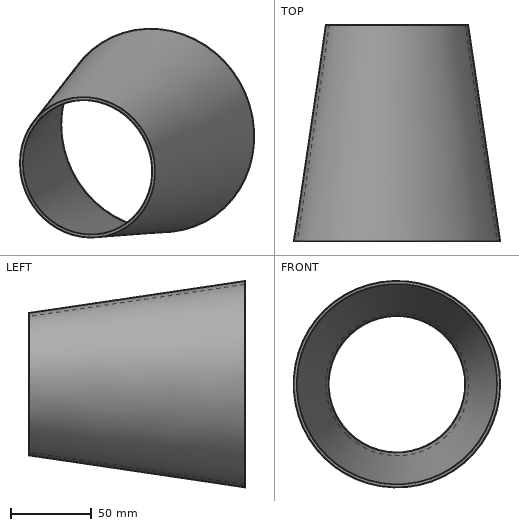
import cadquery as cq

length = 135.0
large_outer_diameter = 129.0
small_outer_diameter = 89.0
wall = 2.0

large_outer_radius = large_outer_diameter / 2
small_outer_radius = small_outer_diameter / 2
large_inner_radius = large_outer_radius - wall
small_inner_radius = small_outer_radius - wall


def reducer_shell():
    """Revolve the slanted wall section about Y, large end at Y = 0."""
    wall_section = cq.Workplane("XY").polyline(
        [
            (large_inner_radius, 0),
            (large_outer_radius, 0),
            (small_outer_radius, length),
            (small_inner_radius, length),
        ]
    ).close()
    return wall_section.revolve(360, (0, 0, 0), (0, 1, 0))


result = reducer_shell()